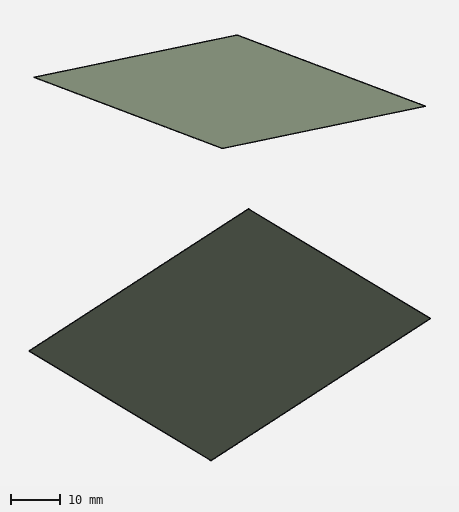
import cadquery as cq

length = 63.5
width = 50.8
thickness = 0.05

result = cq.Workplane("XY").box(length, width, thickness)